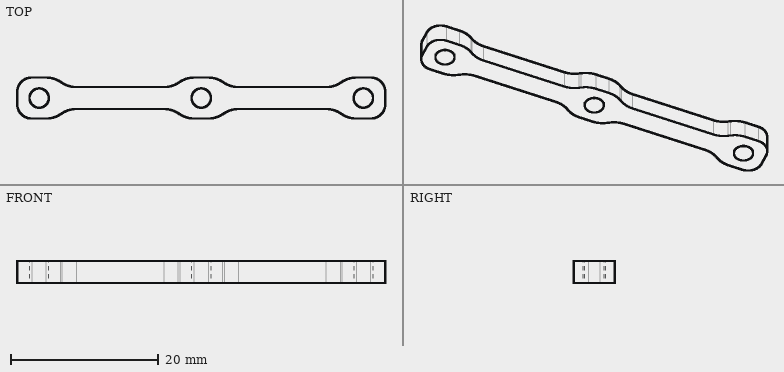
import cadquery as cq

LENGTH = 50.0
EYE_WIDTH = 5.6
THICKNESS = 3.0

BAR_WIDTH = 3.0
HOLE_DIAMETER = 2.6
HOLE_PITCH = 22.0
EYE_HALF_LENGTH = 2.0
TAPER_LENGTH = 2.0

CORNER_RADIUS = 2.0
TAPER_RADIUS = 3.5


def make_outline_corners():
    """Corner points of the upper edge before rounding, from the -X end to the +X end."""
    end_x = LENGTH / 2
    eye_y = EYE_WIDTH / 2
    bar_y = BAR_WIDTH / 2
    outer_eye_x = HOLE_PITCH - EYE_HALF_LENGTH
    right_half = [
        (EYE_HALF_LENGTH, eye_y),
        (EYE_HALF_LENGTH + TAPER_LENGTH, bar_y),
        (outer_eye_x - TAPER_LENGTH, bar_y),
        (outer_eye_x, eye_y),
        (end_x, eye_y),
    ]
    left_half = [(-x, y) for x, y in reversed(right_half)]
    return left_half + right_half


def make_body():
    """Link without holes: a symmetric prism with its end corners and taper corners rounded."""
    upper_edge = make_outline_corners()
    lower_edge = [(x, -y) for x, y in reversed(upper_edge)]
    body = cq.Workplane("XY").polyline(upper_edge + lower_edge).close().extrude(THICKNESS)

    end_corners = "|Z and (<X or >X)"
    body = body.edges(f"|Z and (not ({end_corners}))").fillet(TAPER_RADIUS)
    return body.edges(end_corners).fillet(CORNER_RADIUS)


def make_holes():
    """Round through-holes, one at the centre of each eye."""
    centres = [(-HOLE_PITCH, 0), (0, 0), (HOLE_PITCH, 0)]
    return cq.Workplane("XY").pushPoints(centres).circle(HOLE_DIAMETER / 2).extrude(THICKNESS)


result = make_body().cut(make_holes())